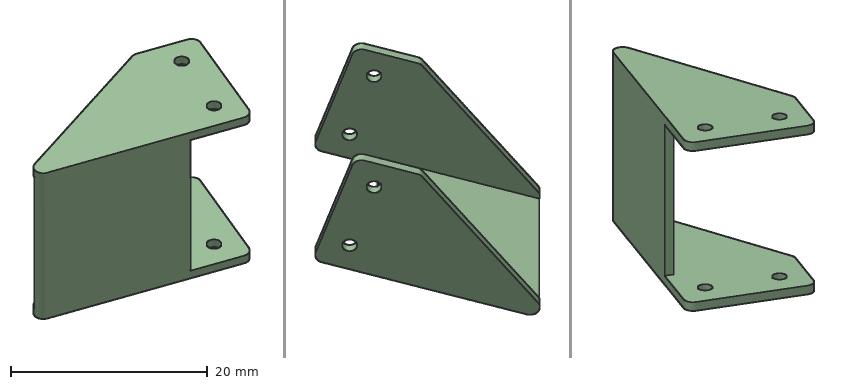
import cadquery as cq
import math

width = 14.0
length = 23.95
height = 19.0

thickness = 1.0
corner_radius = 1.0
shoulder_depth = 7.0
web_length = 17.0

hole_diameter = 1.5
hole_inset = 3.0
hole_spacing = 8.0

shoulder_y = length - shoulder_depth
tip_dx = width - corner_radius
tip_dy = shoulder_y - corner_radius
slant_angle = math.atan2(tip_dy, tip_dx) + math.asin(corner_radius / math.hypot(tip_dx, tip_dy))
sharp_tip_y = shoulder_y - width * math.tan(slant_angle)


def outline_block():
    """Full-height block with the flange outline and rounded corners."""
    corners = [(0, length), (width, length), (width, sharp_tip_y), (0, shoulder_y)]
    return cq.Workplane("XY").polyline(corners).close().extrude(height).edges("|Z").fillet(corner_radius)


def box_between(low, high):
    """Axis-aligned box between two opposite corners."""
    size = [end - start for start, end in zip(low, high)]
    return cq.Workplane("XY").box(*size, centered=False).translate(low)


def mounting_holes():
    """Two vertical cutters passing through both flanges."""
    hole_y = length - hole_inset
    centers = [(hole_inset, hole_y), (hole_inset + hole_spacing, hole_y)]
    return cq.Workplane("XY").pushPoints(centers).circle(hole_diameter / 2).extrude(height)


inner_top = height - thickness
gap_beside_web = box_between((0, 0, thickness), (width - thickness, length, inner_top))
gap_behind_web = box_between((0, web_length, thickness), (width, length, inner_top))

result = outline_block().cut(gap_beside_web).cut(gap_behind_web).cut(mounting_holes())